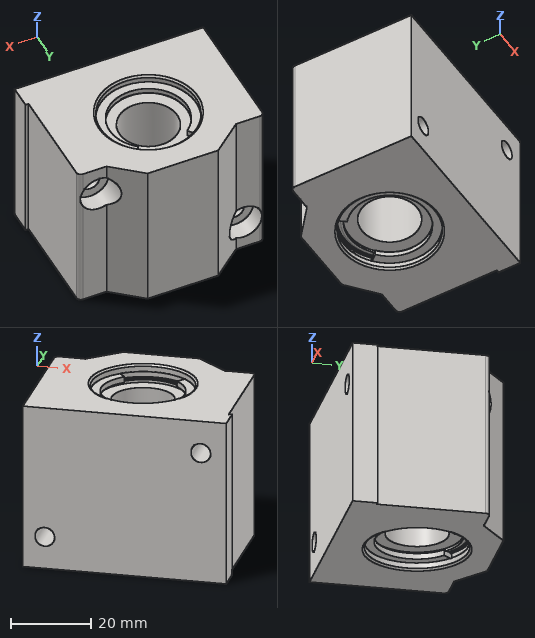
import cadquery as cq
import math


total_width = 52.2
lip_width = 0.85
lip_height = 6.35
body_width = total_width - lip_width
total_depth = 42.0
shoulder_depth = 35.3
block_height = 43.0
axis_to_base = 22.0
crown_top_width = 19.5
crown_base_width = 35.8
corner_radius = 1.25

base_y = -axis_to_base
shoulder_y = base_y + shoulder_depth
crown_y = base_y + total_depth

bore_radius = 13.15
bore_chamfer = 0.5

hole_diameter = 5.0
hole_spacing_x = 40.0
hole_spacing_z = 26.0
counterbore_diameter = 10.1
counterbore_depth = hole_diameter

bushing_length = 36.0
bushing_fillet = 0.85
shaft_radius = 8.0
end_recess_radius = 11.6
end_recess_depth = 0.75

ring_thickness = 1.5
ring_inner_radius = 10.7
groove_radius = 13.6
ring_gap_angle = 78.0
ring_centre_z = (bushing_length + ring_thickness) / 2


def cylinder(radius, length, centre_z=0.0):
    """Cylinder on the bore axis, centred at the given height."""
    return cq.Workplane("XY", origin=(0, 0, centre_z)).cylinder(length, radius)


def block():
    """Extruded outline with a sloped crown and a lip along the base."""
    left = -body_width / 2
    right = body_width / 2
    outline = [
        (left, base_y),
        (right + lip_width, base_y),
        (right + lip_width, base_y + lip_height),
        (right, base_y + lip_height),
        (right, shoulder_y),
        (crown_base_width / 2, shoulder_y),
        (crown_top_width / 2, crown_y),
        (-crown_top_width / 2, crown_y),
        (-crown_base_width / 2, shoulder_y),
        (left, shoulder_y),
    ]
    solid = cq.Workplane("XY").polyline(outline).close().extrude(block_height / 2, both=True)
    for x in (left, right):
        corner = cq.selectors.BoxSelector(
            (x - corner_radius, shoulder_y - corner_radius, -block_height),
            (x + corner_radius, shoulder_y + corner_radius, block_height),
        )
        solid = solid.edges("|Z").edges(corner).fillet(corner_radius)
    return solid


def mounting_hole(x, z):
    """Through hole along Y with a counterbore sunk from the shoulder."""
    hole = cq.Workplane("XZ", origin=(x, base_y, z)).circle(hole_diameter / 2).extrude(-total_depth)
    seat_y = shoulder_y - counterbore_depth
    counterbore = (
        cq.Workplane("XZ", origin=(x, seat_y, z))
        .circle(counterbore_diameter / 2)
        .extrude(seat_y - crown_y)
    )
    return hole.union(counterbore)


def make_housing():
    """Block with its bore, bore chamfers, ring grooves and mounting holes."""
    housing = block().cut(cylinder(bore_radius, block_height))
    largest_circles = cq.selectors.RadiusNthSelector(-1)
    bore_rims = housing.faces("<Z or >Z").edges("%CIRCLE").edges(largest_circles)
    housing = bore_rims.chamfer(bore_chamfer)
    for side in (-1, 1):
        housing = housing.cut(cylinder(groove_radius, ring_thickness, side * ring_centre_z))
        housing = housing.cut(mounting_hole(side * hole_spacing_x / 2, side * hole_spacing_z / 2))
    return housing


def make_bushing():
    """Sleeve with rounded rims and a shallow recess in each end face."""
    bushing = cylinder(bore_radius, bushing_length).edges("%CIRCLE").fillet(bushing_fillet)
    bushing = bushing.cut(cylinder(shaft_radius, bushing_length))
    for side in (-1, 1):
        recess_centre_z = side * (bushing_length - end_recess_depth) / 2
        bushing = bushing.cut(cylinder(end_recess_radius, end_recess_depth, recess_centre_z))
    return bushing


def make_snap_ring(side):
    """Open ring seated in its groove; the gap is a wedge about +Y."""
    centre_z = side * ring_centre_z
    ring = cylinder(groove_radius, ring_thickness, centre_z)
    ring = ring.cut(cylinder(ring_inner_radius, ring_thickness, centre_z))
    wedge_reach = 2 * groove_radius
    wedge_half_width = wedge_reach * math.tan(math.radians(ring_gap_angle / 2))
    gap = (
        cq.Workplane("XY", origin=(0, 0, centre_z))
        .polyline([(0, 0), (wedge_half_width, wedge_reach), (-wedge_half_width, wedge_reach)])
        .close()
        .extrude(ring_thickness, both=True)
    )
    return ring.cut(gap)


housing = make_housing()
bushing = make_bushing()
snap_rings = [make_snap_ring(side) for side in (-1, 1)]

result = cq.Compound.makeCompound([
    housing.val(),
    bushing.val(),
    *[ring.val() for ring in snap_rings],
])